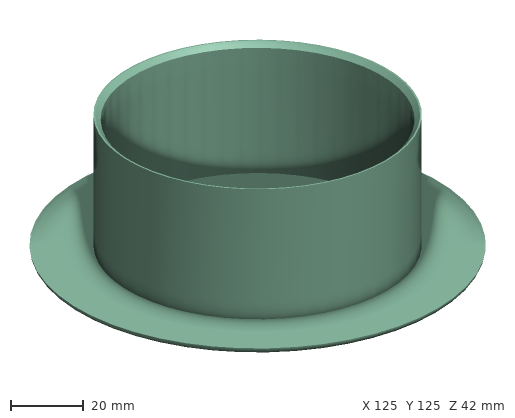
import cadquery as cq

flange_radius = 62.5
flange_thickness = 2.0

total_height = 42.0
tube_outer_diameter = 90.0
tube_inner_diameter = 86.0
rim_chamfer = 1.5


def make_flange():
    """Solid disc revolved from a half section with a quarter-round lower edge."""
    flat_radius = flange_radius - flange_thickness
    return (
        cq.Workplane("XZ")
        .lineTo(flat_radius, 0)
        .radiusArc((flange_radius, flange_thickness), -flange_thickness)
        .lineTo(0, flange_thickness)
        .close()
        .revolve(360, (0, 0, 0), (0, 1, 0))
    )


def make_tube():
    """Tube on the flange with a lead-in chamfer inside its open rim."""
    tube = (
        cq.Workplane("XY")
        .workplane(offset=flange_thickness)
        .circle(tube_outer_diameter / 2)
        .circle(tube_inner_diameter / 2)
        .extrude(total_height - flange_thickness)
    )
    inner_edge = cq.selectors.RadiusNthSelector(0)
    return tube.faces(">Z").edges(inner_edge).chamfer(rim_chamfer)


result = make_flange().union(make_tube())